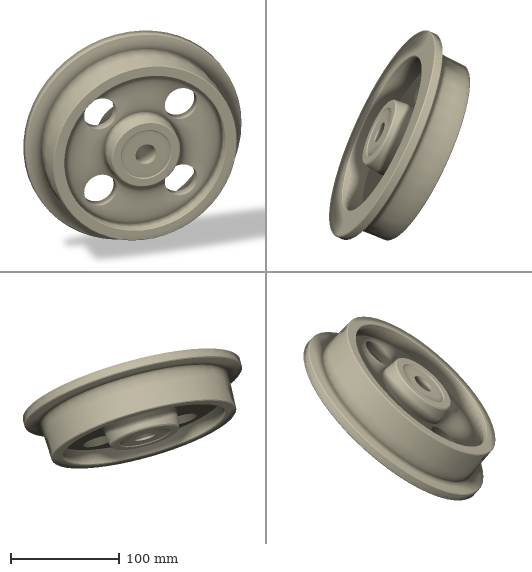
import cadquery as cq

hub_length = 52.0
body_inset = 3.1
web_thickness = 10.0
web_offset = 3.3
flange_edge_width = 8.8
flange_root_width = 11.0

flange_radius = 104.2
tread_root_radius = 90.3
tread_tip_radius = 88.6
rim_inner_radius = 78.5
hub_base_radius = 35.5
hub_tip_radius = 33.2
bearing_radius = 23.8
bore_radius = 10.0

hole_count = 4
hole_radius = 15.6
hole_circle_radius = 55.0

rim_chamfer = 0.8
recess_chamfer = 0.6
hub_chamfer = 1.3
bearing_setback = 0.8

hub_end = hub_length / 2
body_end = hub_end - body_inset
web_flange_face = web_offset - web_thickness / 2
web_tread_face = web_offset + web_thickness / 2


def revolve_about_x(points):
    """Revolve a closed (x, radius) outline about the wheel axis."""
    return cq.Workplane("XY").polyline(points).close().revolve(360, (0, 0, 0), (1, 0, 0))


def make_rim():
    flange_edge = -body_end + flange_edge_width
    flange_root = -body_end + flange_root_width
    edge_radius = flange_radius - rim_chamfer
    return revolve_about_x([
        (-body_end, rim_inner_radius),
        (-body_end, edge_radius),
        (-body_end + rim_chamfer, flange_radius),
        (flange_edge - rim_chamfer, flange_radius),
        (flange_edge, edge_radius),
        (flange_root, tread_root_radius),
        (body_end - rim_chamfer, tread_tip_radius),
        (body_end, tread_tip_radius - rim_chamfer),
        (body_end, rim_inner_radius),
        (body_end - recess_chamfer, rim_inner_radius - recess_chamfer),
        (-body_end + recess_chamfer, rim_inner_radius - recess_chamfer),
    ])


def make_web():
    outer_radius = (rim_inner_radius + tread_tip_radius) / 2
    web = cq.Workplane("YZ").workplane(offset=web_flange_face).circle(outer_radius).extrude(web_thickness)
    holes = (
        cq.Workplane("YZ").workplane(offset=web_flange_face)
        .polarArray(hole_circle_radius, 180 / hole_count, 360, hole_count)
        .circle(hole_radius).extrude(web_thickness)
    )
    return web.cut(holes)


def make_hub():
    half_outline = [
        (hub_end - hub_chamfer, hub_tip_radius),
        (hub_end, hub_tip_radius - hub_chamfer),
        (hub_end, bearing_radius + bearing_setback),
        (hub_end - bearing_setback, bearing_radius),
        (hub_end - bearing_setback, bore_radius),
    ]
    mirrored_outline = [(-x, radius) for x, radius in reversed(half_outline)]
    return revolve_about_x(
        [(web_tread_face, hub_base_radius)] + half_outline
        + mirrored_outline + [(web_flange_face, hub_base_radius)]
    )


bore = cq.Workplane("YZ").circle(bore_radius).extrude(hub_length, both=True)
result = make_web().union(make_rim()).union(make_hub()).cut(bore)